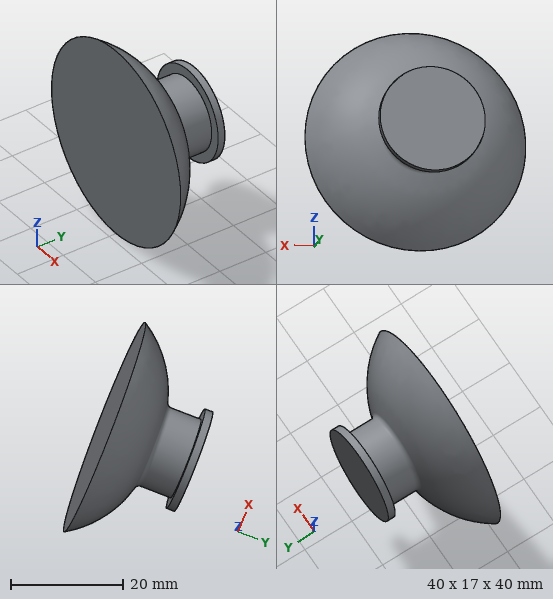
import cadquery as cq
import math

rim_radius = 20.0
total_height = 17.0
neck_radius = 15.0 / 2
flange_radius = 19.0 / 2
flange_thickness = 1.5
dome_arc_radius = 20.0
dome_arc_offset = 2.9
neck_fillet_radius = 1.0

dome_arc_centre = -math.sqrt(dome_arc_radius**2 - (rim_radius - dome_arc_offset) ** 2)


def dome_height(radius):
    """Distance of the dome surface from the flat face at a given radius."""
    return dome_arc_centre + math.sqrt(dome_arc_radius**2 - (radius - dome_arc_offset) ** 2)


fillet_centre_radius = neck_radius + neck_fillet_radius
centre_distance = dome_arc_radius + neck_fillet_radius
centre_spread = fillet_centre_radius - dome_arc_offset
fillet_centre_height = dome_arc_centre + math.sqrt(centre_distance**2 - centre_spread**2)
fillet_end_radius = dome_arc_offset + centre_spread * dome_arc_radius / centre_distance

dome_mid_radius = (rim_radius + fillet_end_radius) / 2
fillet_end_angle = math.atan2(
    dome_height(fillet_end_radius) - fillet_centre_height, fillet_end_radius - fillet_centre_radius
) % (2 * math.pi)
fillet_mid_angle = (math.pi + fillet_end_angle) / 2
fillet_mid = (
    fillet_centre_radius + neck_fillet_radius * math.cos(fillet_mid_angle),
    fillet_centre_height + neck_fillet_radius * math.sin(fillet_mid_angle),
)

flange_base = total_height - flange_thickness

result = (
    cq.Workplane("XY")
    .lineTo(rim_radius, 0)
    .threePointArc(
        (dome_mid_radius, dome_height(dome_mid_radius)),
        (fillet_end_radius, dome_height(fillet_end_radius)),
    )
    .threePointArc(fillet_mid, (neck_radius, fillet_centre_height))
    .lineTo(neck_radius, flange_base)
    .lineTo(flange_radius, flange_base)
    .lineTo(flange_radius, total_height)
    .lineTo(0, total_height)
    .close()
    .revolve(360, (0, 0, 0), (0, 1, 0))
)